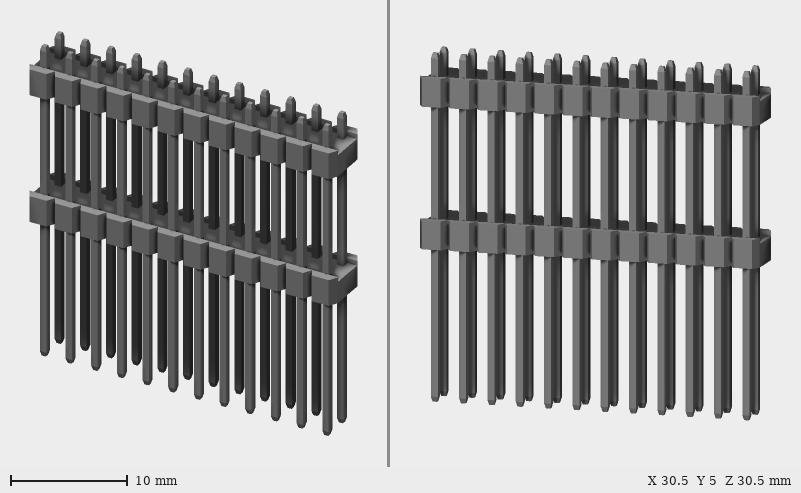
import cadquery as cq

pin_count = 12
row_count = 2
strip_length = 30.47
pitch = strip_length / pin_count

pin_length = 30.5
pin_width = 0.65
tip_width = 0.4
tip_length = 0.45

strip_width = 5.0
strip_height = 2.53
root_width = 3.42
channel_width = 3.3
channel_depth = 0.45
tooth_bevel = 0.43
top_strip_setback = 2.0
strip_spacing = 12.47

upper_strip_base = pin_length - top_strip_setback - strip_height
strip_bases = [upper_strip_base, upper_strip_base - strip_spacing]

column_places = [(i - (pin_count - 1) / 2) * pitch for i in range(pin_count)]
row_places = [(j - (row_count - 1) / 2) * pitch for j in range(row_count)]


def make_strip():
    """Insulator strip standing on Z = 0, with its lengthwise channel open at the top."""
    front_edge = []
    back_edge = []
    for x in column_places:
        left = x - pitch / 2
        right = x + pitch / 2
        tooth = [
            (left, root_width / 2),
            (left + tooth_bevel, strip_width / 2),
            (right - tooth_bevel, strip_width / 2),
        ]
        back_edge += tooth
        front_edge += [(px, -py) for px, py in tooth]
    back_edge.append((strip_length / 2, root_width / 2))
    front_edge.append((strip_length / 2, -root_width / 2))
    outline = back_edge + front_edge[::-1]
    body = cq.Workplane("XY").polyline(outline).close().extrude(strip_height)
    channel = (
        cq.Workplane("XY")
        .workplane(offset=strip_height - channel_depth)
        .rect(strip_length, channel_width)
        .extrude(channel_depth)
    )
    return body.cut(channel)


def make_pin():
    """Square pin standing on Z = 0, tapered at both ends."""
    shank_length = pin_length - 2 * tip_length
    shank = (
        cq.Workplane("XY")
        .workplane(offset=tip_length)
        .rect(pin_width, pin_width)
        .extrude(shank_length)
    )
    lower_tip = (
        cq.Workplane("XY")
        .rect(tip_width, tip_width)
        .workplane(offset=tip_length)
        .rect(pin_width, pin_width)
        .loft()
    )
    upper_tip = lower_tip.mirror("XY").translate((0, 0, pin_length))
    return shank.union(lower_tip).union(upper_tip)


strip = make_strip()
pin = make_pin()

result = strip.translate((0, 0, strip_bases[0]))
for base in strip_bases[1:]:
    result = result.union(strip.translate((0, 0, base)))
for x in column_places:
    for y in row_places:
        result = result.union(pin.translate((x, y, 0)))